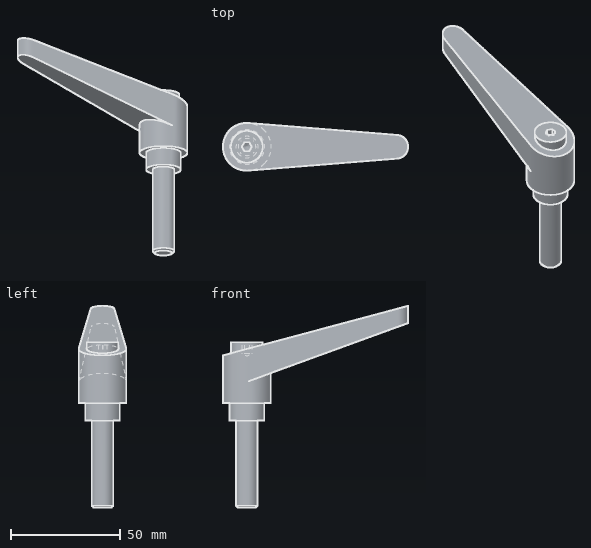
import cadquery as cq
import math


stud_diameter = 10.0
stud_length = 40.0
stud_chamfer = 1.0
collar_diameter = 16.0
collar_height = 8.0

hub_radius = 11.0
tip_radius = 5.5
overall_length = 85.0
overall_height = 92.7
top_angle = 15.0
underside_angle = 20.0
tip_thickness = 8.0

head_diameter = 14.6
head_top = 76.0
socket_across_flats = 4.0
socket_depth = 5.0
socket_point_angle = 120.0

hub_bottom = stud_length + collar_height
tip_end = overall_length - hub_radius
tip_center = tip_end - tip_radius


def top_height(x):
    """Height of the sloping top plane at a given X."""
    return overall_height - (tip_end - x) * math.tan(math.radians(top_angle))


def underside_height(x):
    """Height of the sloping underside of the arm at a given X."""
    drop = (tip_end - x) * math.tan(math.radians(underside_angle))
    return overall_height - tip_thickness - drop


def cylinder(diameter, bottom, top):
    """Round body on the stud axis between two heights."""
    return cq.Workplane("XY").workplane(offset=bottom).circle(diameter / 2).extrude(top - bottom)


def side_profile(points):
    """Plate with the given XZ outline, as wide as the hub and centred on Y = 0."""
    return cq.Workplane("XZ").polyline(points).close().extrude(hub_radius, both=True)


def make_stud():
    stud = cylinder(stud_diameter, 0, stud_length)
    return stud.faces("<Z").chamfer(stud_chamfer)


def make_hub():
    hub = cylinder(2 * hub_radius, hub_bottom, overall_height)
    below_top = side_profile([
        (-hub_radius, hub_bottom),
        (hub_radius, hub_bottom),
        (hub_radius, top_height(hub_radius)),
        (-hub_radius, top_height(-hub_radius)),
    ])
    return hub.intersect(below_top)


def make_arm():
    side_sine = (hub_radius - tip_radius) / tip_center
    side_cosine = math.sqrt(1 - side_sine**2)
    hub_tangent_x = hub_radius * side_sine
    hub_tangent_y = hub_radius * side_cosine
    tip_tangent_x = tip_center + tip_radius * side_sine
    tip_tangent_y = tip_radius * side_cosine
    plan = (
        cq.Workplane("XY")
        .workplane(offset=hub_bottom)
        .moveTo(hub_tangent_x, -hub_tangent_y)
        .lineTo(tip_tangent_x, -tip_tangent_y)
        .threePointArc((tip_end, 0), (tip_tangent_x, tip_tangent_y))
        .lineTo(hub_tangent_x, hub_tangent_y)
        .close()
        .extrude(overall_height - hub_bottom)
    )
    slab = side_profile([
        (0, underside_height(0)),
        (tip_end, underside_height(tip_end)),
        (tip_end, top_height(tip_end)),
        (0, top_height(0)),
    ])
    return plan.intersect(slab)


def make_socket():
    """Hexagon socket, corners along X, ending in a conical drill point."""
    corner_diameter = socket_across_flats / math.cos(math.pi / 6)
    corner_radius = corner_diameter / 2
    point_depth = corner_radius / math.tan(math.radians(socket_point_angle / 2))
    hexagon = (
        cq.Workplane("XY")
        .workplane(offset=head_top)
        .polygon(6, corner_diameter)
        .extrude(-(socket_depth + point_depth))
    )
    socket_floor = head_top - socket_depth
    pointed_bore = (
        cq.Workplane("XZ")
        .moveTo(0, head_top)
        .lineTo(corner_radius, head_top)
        .lineTo(corner_radius, socket_floor)
        .lineTo(0, socket_floor - point_depth)
        .close()
        .revolve(360, (0, 0), (0, 1))
    )
    return hexagon.intersect(pointed_bore)


collar = cylinder(collar_diameter, stud_length, hub_bottom)
screw_head = cylinder(head_diameter, hub_bottom, head_top)

result = (
    make_stud()
    .union(collar)
    .union(make_hub())
    .union(make_arm())
    .union(screw_head)
    .cut(make_socket())
)